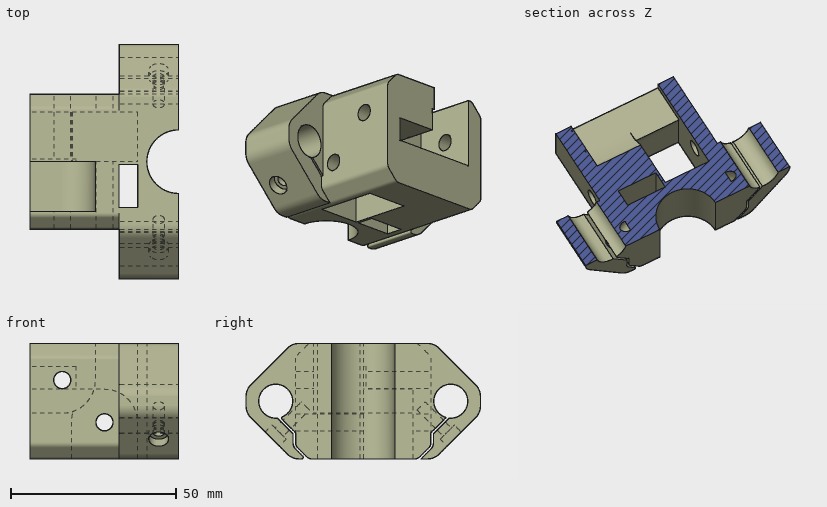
import cadquery as cq
import math

length = 45.0
height = 35.0
flange_width = 71.0
mid_height = height / 2

body_width = 41.0
body_chamfer = 4.05
body_round = 2.0

flange_start = 27.0
flange_chamfer = 14.0
flange_round = 5.0
rod_hole_diameter = 10.2
rod_offset = 26.5

slit_width = 0.7
slit_bend_height = 7.95
slit_tip_round = 0.5

screw_x = 39.0
screw_height = 6.0
screw_head_diameter = 6.0
screw_head_depth = 3.0
screw_hole_diameter = 3.5
screw_hole_depth = 14.2

pivot_middle_x = 16.2
pivot_half_spacing = 6.4
pivot_diameter = 5.1
pulley_radius = 10.0
pulley_width = 15.05
upper_pivot = (pivot_middle_x - pivot_half_spacing, mid_height + pivot_half_spacing)
lower_pivot = (pivot_middle_x + pivot_half_spacing, mid_height - pivot_half_spacing)
belt_bottom = upper_pivot[1] - pulley_radius
belt_top = lower_pivot[1] + pulley_radius

relief_reach = 4.1
relief_depth = 0.85

window_length = 5.6
window_width = 12.9
window_y = -7.4

end_cut_radius = 9.6


def box(x_range, y_range, z_range):
    """Box between the given limits."""
    sizes = [high - low for low, high in (x_range, y_range, z_range)]
    corner = (x_range[0], y_range[0], z_range[0])
    return cq.Workplane("XY").box(*sizes, centered=False).translate(corner)


def rounded_octagon_bar(start, width, chamfer, rounding, growth=0.0):
    """Bar along X to the +X end, long edges chamfered and rounded, its outline offset by growth."""
    return (
        cq.Workplane("YZ", origin=(start, 0, mid_height))
        .rect(width + 2 * growth, height + 2 * growth)
        .extrude(length - start)
        .edges("|X")
        .chamfer(chamfer + growth * (2 - math.sqrt(2)))
        .edges("|X")
        .fillet(rounding + growth)
    )


def cylinder_along_y(pivot, radius, y_range):
    """Cylinder parallel to Y around a pivot given as (x, z)."""
    origin = (pivot[0], y_range[0], pivot[1])
    depth = y_range[1] - y_range[0]
    return cq.Workplane("XZ", origin=origin).circle(radius).extrude(-depth)


def jaw_gap():
    """Clearance around the lower part of the body, on both sides."""
    outline = rounded_octagon_bar(flange_start, body_width, body_chamfer, body_round, slit_width)
    half_width = flange_width / 2
    lower_zone = box((flange_start, length), (-half_width, half_width), (0, slit_bend_height))
    return outline.intersect(lower_zone)


def diagonal_slit():
    """45 degree slit from the -Y body wall out to the -Y rod hole."""
    wall_y = -body_width / 2
    run = rod_offset - body_width / 2
    drop = slit_width * math.sqrt(2)
    return (
        cq.Workplane("YZ", origin=(flange_start, 0, 0))
        .polyline([
            (wall_y, slit_bend_height),
            (wall_y - run, slit_bend_height + run),
            (wall_y - run, slit_bend_height + run - drop),
            (wall_y, slit_bend_height - drop),
        ])
        .close()
        .extrude(length - flange_start)
    )


def rod_tip_position():
    """(y, z) where the upper edge of the -Y diagonal slit meets the rod hole."""
    line_rise = slit_bend_height - body_width / 2
    distance = (mid_height - rod_offset - line_rise) / math.sqrt(2)
    half_chord = math.sqrt((rod_hole_diameter / 2) ** 2 - distance ** 2)
    out_from_middle = rod_offset + (distance - half_chord) / math.sqrt(2)
    return -out_from_middle, out_from_middle + line_rise


def jaw_tip_position():
    """(y, z) of the sharp inner corner under the -Y jaw."""
    return body_chamfer - body_width / 2 - slit_width * math.sqrt(2), 0


def clamp_screw_hole():
    """Counterbored blind hole entering the lower 45 degree face on the -Y side."""
    face_y = flange_chamfer - flange_width / 2 - screw_height
    start = cq.Vector(screw_x, face_y, screw_height)
    inward = cq.Vector(0, 1, 1)
    head = cq.Solid.makeCylinder(screw_head_diameter / 2, screw_head_depth, start, inward)
    shank = cq.Solid.makeCylinder(screw_hole_diameter / 2, screw_hole_depth, start, inward)
    return cq.Workplane(head.fuse(shank))


def upper_pulley_pocket():
    """Round-bottomed pocket open to the top, reached by the belt from the -X end."""
    y_range = (-pulley_width, 0)
    x, z = upper_pivot
    pocket = cylinder_along_y(upper_pivot, pulley_radius, y_range)
    pocket = pocket.union(box((x - pulley_radius, x + pulley_radius), y_range, (z, height)))
    return pocket.union(box((0, x), y_range, (belt_bottom, z)))


def lower_pulley_pocket():
    """Round-topped pocket open to the bottom, reached by the belt from the -X end."""
    y_range = (0, pulley_width)
    x, z = lower_pivot
    pocket = cylinder_along_y(lower_pivot, pulley_radius, y_range)
    pocket = pocket.union(box((x - pulley_radius, x + pulley_radius), y_range, (0, z)))
    return pocket.union(box((0, x), y_range, (belt_bottom, belt_top)))


def pivot_relief():
    """Shallow step in the wall between the pulleys, open to the -X end."""
    x, z = upper_pivot
    return box((0, x + relief_reach), (0, relief_depth), (belt_bottom, z + relief_reach))


flange = rounded_octagon_bar(flange_start, flange_width, flange_chamfer, flange_round)
body = rounded_octagon_bar(0, body_width, body_chamfer, body_round)
result = flange.cut(jaw_gap()).union(body)

rod_hole = (
    cq.Workplane("YZ", origin=(flange_start, -rod_offset, mid_height))
    .circle(rod_hole_diameter / 2)
    .extrude(length - flange_start)
)
for cutter in (rod_hole, diagonal_slit(), clamp_screw_hole()):
    result = result.cut(cutter).cut(cutter.mirror("XZ"))

for tip_y, tip_z in (rod_tip_position(), jaw_tip_position()):
    tip = ((flange_start + length) / 2, tip_y, tip_z)
    result = result.edges("|X").edges(cq.NearestToPointSelector(tip)).fillet(slit_tip_round)

result = result.cut(upper_pulley_pocket()).cut(lower_pulley_pocket()).cut(pivot_relief())
for pivot in (upper_pivot, lower_pivot):
    result = result.cut(cylinder_along_y(pivot, pivot_diameter / 2, (-body_width / 2, body_width / 2)))

window_y_range = (window_y - window_width / 2, window_y + window_width / 2)
result = result.cut(box((flange_start, flange_start + window_length), window_y_range, (0, height)))
end_cut = cq.Workplane("XY", origin=(length, 0, 0)).circle(end_cut_radius).extrude(height)
result = result.cut(end_cut)